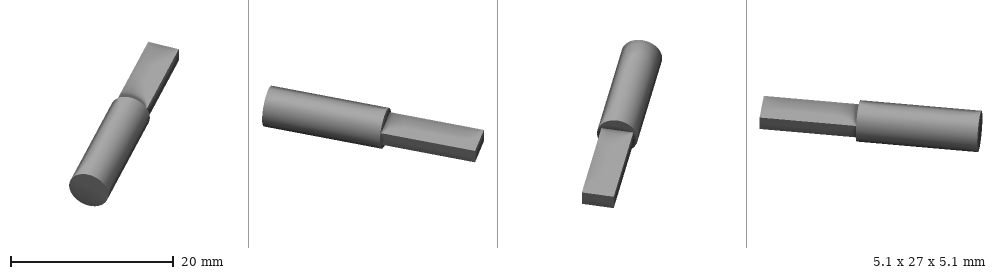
import cadquery as cq

total_length = 27.0
shank_diameter = 5.1
shank_length = 15.0
blade_width = 4.0
blade_thickness = 1.9

blade_length = total_length - shank_length


def make_shank():
    """Round shank along Y, from its front face at -Y to the shoulder."""
    front_plane = cq.Workplane("XZ", origin=(0, -total_length / 2, 0))
    return front_plane.circle(shank_diameter / 2).extrude(-shank_length)


def add_blade(shank):
    """Flat blade centred on the shoulder at the +Y end of the shank."""
    return shank.faces(">Y").workplane().rect(blade_width, blade_thickness).extrude(blade_length)


result = add_blade(make_shank())